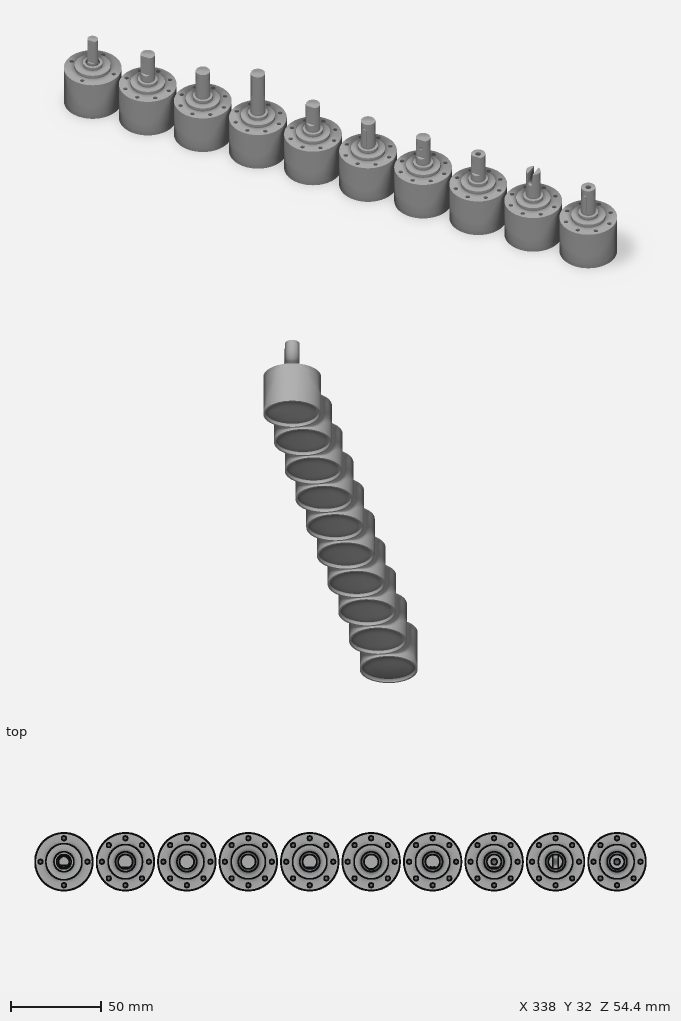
import cadquery as cq
import math

UNIT_PITCH = 34.0

HOUSING_DIA = 32.0
GEAR_CASE_HEIGHT = 16.4
FLANGE_THICKNESS = 7.0
FLANGE_TOP = GEAR_CASE_HEIGHT + FLANGE_THICKNESS
MOTOR_RECESS_DIA = 29.8
MOTOR_RECESS_DEPTH = 2.0

PILOT_HEIGHT = 2.0
PILOT_TOP = FLANGE_TOP + PILOT_HEIGHT
PILOT_DIA = 19.0
FIRST_PILOT_DIA = 20.0
COLLAR_DIA = 11.0
COLLAR_BORE_DIA = 8.0
COLLAR_HEIGHT = 2.0
COLLAR_TOP = PILOT_TOP + COLLAR_HEIGHT

MOUNT_CIRCLE_DIA = 26.0
MOUNT_HOLE_DIA = 2.5
MOUNT_HOLE_DEPTH = FLANGE_THICKNESS

SHAFT_DIA = 8.0
SHAFT_LENGTH = 21.0
SHAFT_TOP = FLANGE_TOP + SHAFT_LENGTH
LONG_SHAFT_LENGTH = 31.0
THIN_SHAFT_DIA = 6.0
THIN_SHAFT_LENGTH = 20.0

FLAT_LENGTH = 12.0
FLAT_DEPTH = 1.0
THIN_FLAT_LENGTH = 15.0
KEY_WIDTH = 2.0
KEY_LENGTH = 11.5
KEY_PROJECTION = 0.5
KEY_TOP_SETBACK = 3.5
CROSS_HOLE_DIA = 2.0
CROSS_HOLE_SETBACK = 6.0
SLOT_WIDTH = 3.0
SLOT_DEPTH = 8.0
TAPPED_HOLE_DIA = 3.3
DRILL_POINT_ANGLE = 118.0
TAPPED_HOLE_DEPTH = 10.0


def cylinder(dia, bottom, top):
    """Upright cylinder on the Z axis."""
    return cq.Workplane("XY").workplane(offset=bottom).circle(dia / 2).extrude(top - bottom)


def gearbox(hole_count=8, pilot_dia=PILOT_DIA, shaft_dia=SHAFT_DIA, shaft_length=SHAFT_LENGTH):
    """Housing with flange holes, pilot boss, collar and a plain output shaft."""
    stages = [
        (HOUSING_DIA, FLANGE_TOP),
        (pilot_dia, PILOT_TOP),
        (COLLAR_DIA, COLLAR_TOP),
        (shaft_dia, FLANGE_TOP + shaft_length),
    ]
    body = cylinder(HOUSING_DIA, 0, GEAR_CASE_HEIGHT)
    stage_bottom = GEAR_CASE_HEIGHT
    for dia, stage_top in stages:
        body = body.union(cylinder(dia, stage_bottom, stage_top), clean=False)
        stage_bottom = stage_top

    motor_recess = cylinder(MOTOR_RECESS_DIA, 0, MOTOR_RECESS_DEPTH)
    mount_holes = (
        cq.Workplane("XY")
        .workplane(offset=FLANGE_TOP)
        .polarArray(MOUNT_CIRCLE_DIA / 2, 0, 360, hole_count, rotate=False)
        .circle(MOUNT_HOLE_DIA / 2)
        .extrude(-MOUNT_HOLE_DEPTH)
    )
    return body.cut(motor_recess, clean=False).cut(mount_holes, clean=False)


def thin_d_gearbox():
    """Four-hole unit: thin shaft with one flat, standing in a wider collar bore."""
    body = gearbox(
        hole_count=4,
        pilot_dia=FIRST_PILOT_DIA,
        shaft_dia=THIN_SHAFT_DIA,
        shaft_length=THIN_SHAFT_LENGTH,
    )
    flat = (
        cq.Workplane("XY")
        .box(THIN_SHAFT_DIA, FLAT_DEPTH, THIN_FLAT_LENGTH, centered=(True, False, False))
        .translate((0, -THIN_SHAFT_DIA / 2, FLANGE_TOP + THIN_SHAFT_LENGTH - THIN_FLAT_LENGTH))
    )
    collar_clearance = cylinder(COLLAR_BORE_DIA, PILOT_TOP, COLLAR_TOP).cut(
        cylinder(THIN_SHAFT_DIA, PILOT_TOP, COLLAR_TOP)
    )
    return body.cut(flat, clean=False).cut(collar_clearance, clean=False)


def d_gearbox():
    """Shaft with a flat on the -Y side that ends in a quarter-round run-out."""
    flat_face = FLAT_DEPTH - SHAFT_DIA / 2
    flat_end = SHAFT_TOP - FLAT_LENGTH
    flat = (
        cq.Workplane("YZ")
        .moveTo(-SHAFT_DIA / 2, SHAFT_TOP)
        .lineTo(flat_face, SHAFT_TOP)
        .lineTo(flat_face, flat_end)
        .radiusArc((flat_face - FLAT_DEPTH, flat_end - FLAT_DEPTH), -FLAT_DEPTH)
        .close()
        .extrude(SHAFT_DIA / 2, both=True)
    )
    return gearbox().cut(flat, clean=False)


def keyed_gearbox():
    """Shaft with a parallel key standing proud on the -Y side."""
    key_reach = SHAFT_DIA / 2 + KEY_PROJECTION
    key = (
        cq.Workplane("XY")
        .box(KEY_WIDTH, key_reach, KEY_LENGTH, centered=(True, False, False))
        .translate((0, -key_reach, SHAFT_TOP - KEY_TOP_SETBACK - KEY_LENGTH))
    )
    return gearbox().union(key, clean=False)


def cross_hole_gearbox():
    """D shaft drilled through square to its flat."""
    hole = (
        cq.Workplane("XZ")
        .center(0, SHAFT_TOP - CROSS_HOLE_SETBACK)
        .circle(CROSS_HOLE_DIA / 2)
        .extrude(SHAFT_DIA / 2, both=True)
    )
    return d_gearbox().cut(hole, clean=False)


def slotted_gearbox():
    """Shaft with a round-bottomed slot cut across its end along Y."""
    half_width = SLOT_WIDTH / 2
    slot_bottom = SHAFT_TOP - SLOT_DEPTH
    slot = (
        cq.Workplane("XZ")
        .moveTo(-half_width, SHAFT_TOP)
        .lineTo(-half_width, slot_bottom + half_width)
        .threePointArc((0, slot_bottom), (half_width, slot_bottom + half_width))
        .lineTo(half_width, SHAFT_TOP)
        .close()
        .extrude(SHAFT_DIA / 2, both=True)
    )
    return gearbox().cut(slot, clean=False)


def with_end_hole(body):
    """Drill the shaft end with a blind hole that has a drill-point bottom."""
    hole_radius = TAPPED_HOLE_DIA / 2
    point_height = hole_radius / math.tan(math.radians(DRILL_POINT_ANGLE / 2))
    full_depth = SHAFT_TOP - TAPPED_HOLE_DEPTH
    hole = (
        cq.Workplane("XZ")
        .moveTo(0, SHAFT_TOP)
        .lineTo(hole_radius, SHAFT_TOP)
        .lineTo(hole_radius, full_depth)
        .lineTo(0, full_depth - point_height)
        .close()
        .revolve(360, (0, 0, 0), (0, 1, 0))
    )
    return body.cut(hole, clean=False)


row = [
    thin_d_gearbox(),
    d_gearbox(),
    gearbox(),
    gearbox(shaft_length=LONG_SHAFT_LENGTH),
    d_gearbox(),
    keyed_gearbox(),
    cross_hole_gearbox(),
    with_end_hole(d_gearbox()),
    slotted_gearbox(),
    with_end_hole(keyed_gearbox()),
]
solids = [body.translate((index * UNIT_PITCH, 0, 0)).solids().val() for index, body in enumerate(row)]
result = cq.Compound.makeCompound(solids)